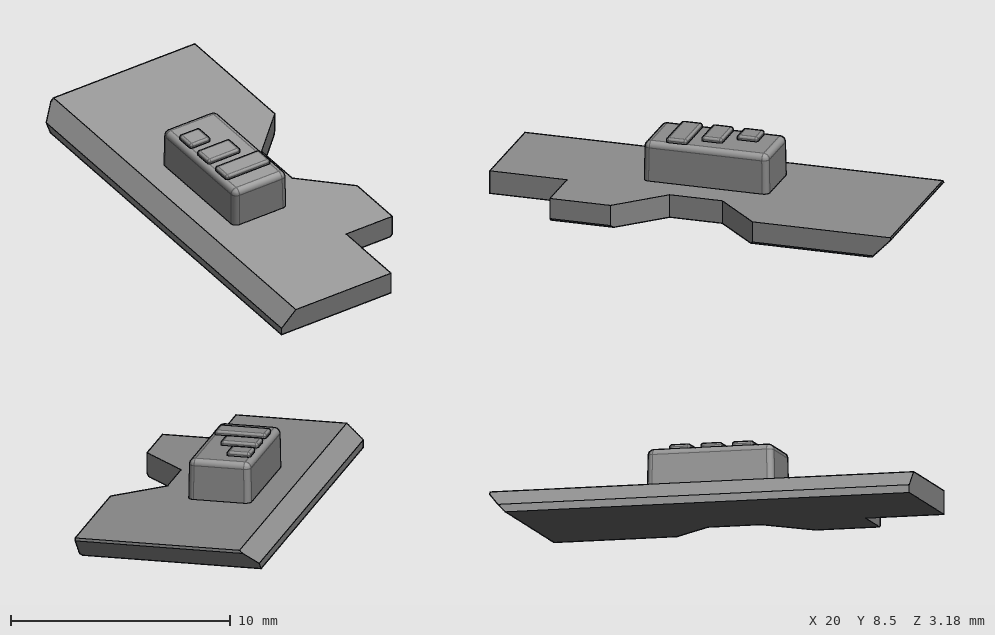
import cadquery as cq

plate_length = 20.0
plate_width = 8.5
plate_thickness = 1.1

notch_center_x = 10.0
notch_floor_length = 2.52
notch_depth = 2.15
step_length = 3.7
step_depth = 2.52

front_bevel_run = 0.78
front_bevel_drop = 0.75
left_land_height = 0.15
left_bevel_run = 0.92
rear_chamfer = 0.12

button_length = 6.0
button_width = 2.95
button_height = 1.88
button_center_x = notch_center_x
button_center_y = 3.52
button_draft = 1.0
button_corner_radius = 0.28
button_top_radius = 0.28
button_top_z = plate_thickness + button_height

bar_width = 1.0
bar_height = 0.2
bar_lengths = (1.1, 1.75, 2.42)
bar_pitch = 1.48
bar_front_y = button_center_y - max(bar_lengths) / 2
bar_edge_radius = 0.12
bar_embed = 0.05


def make_plate():
    notch_floor_half = notch_floor_length / 2
    notch_mouth_half = notch_floor_half + notch_depth
    notch_floor_y = plate_width - notch_depth
    step_x = plate_length - step_length
    step_y = plate_width - step_depth
    outline = [
        (0, 0),
        (plate_length, 0),
        (plate_length, step_y),
        (step_x, step_y),
        (step_x, plate_width),
        (notch_center_x + notch_mouth_half, plate_width),
        (notch_center_x + notch_floor_half, notch_floor_y),
        (notch_center_x - notch_floor_half, notch_floor_y),
        (notch_center_x - notch_mouth_half, plate_width),
        (0, plate_width),
    ]
    plate = cq.Workplane("XY").polyline(outline).close().extrude(plate_thickness)
    plate = plate.faces(">Y").edges("<Z").chamfer(rear_chamfer)

    front_bevel = (
        cq.Workplane("YZ")
        .polyline([
            (0, plate_thickness),
            (front_bevel_run, plate_thickness),
            (0, plate_thickness - front_bevel_drop),
        ])
        .close()
        .extrude(plate_length)
    )
    left_bevel = (
        cq.Workplane("XZ")
        .polyline([
            (0, 0),
            (left_bevel_run, 0),
            (0, plate_thickness - left_land_height),
        ])
        .close()
        .extrude(-plate_width)
    )
    return plate.cut(front_bevel).cut(left_bevel)


def make_button():
    return (
        cq.Workplane("XY", origin=(button_center_x, button_center_y, plate_thickness))
        .rect(button_length, button_width)
        .extrude(button_height, taper=button_draft)
        .edges("not(#Z)")
        .fillet(button_corner_radius)
        .faces(">Z")
        .edges()
        .fillet(button_top_radius)
    )


def make_bar(center_x, length):
    center_y = bar_front_y + length / 2
    return (
        cq.Workplane("XY", origin=(center_x, center_y, button_top_z - bar_embed))
        .rect(bar_width, length)
        .extrude(bar_height + bar_embed)
        .edges("|Z or >Z")
        .fillet(bar_edge_radius)
    )


result = make_plate().union(make_button())
middle_bar = (len(bar_lengths) - 1) / 2
for index, length in enumerate(bar_lengths):
    bar_x = button_center_x + (index - middle_bar) * bar_pitch
    result = result.union(make_bar(bar_x, length))